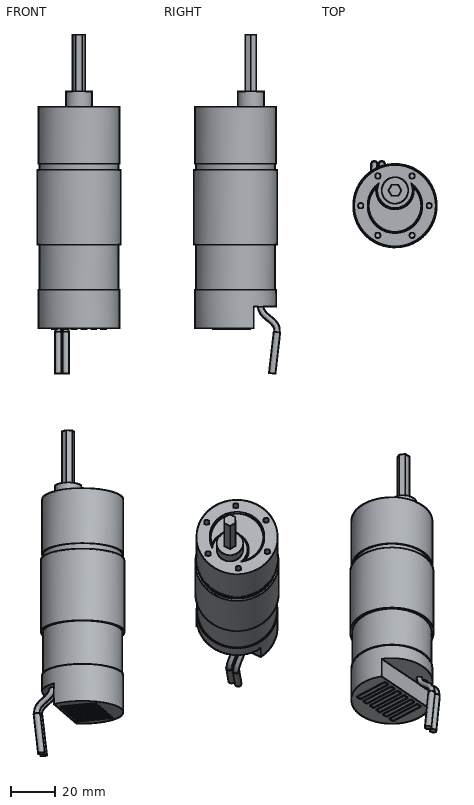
import cadquery as cq
import math


SLEEVE_DIAMETER = 38.0
END_RADIUS = 18.5
NECK_RADIUS = 18.0
CAP_TOP = 17.5
MOTOR_TOP = 38.0
SLEEVE_TOP = 71.9
GROOVE_TOP = 74.7
BODY_TOP = 100.7

OUTPUT_Y = 7.0
BOSS_RADIUS = 6.0
BOSS_TOP = 107.6
SHAFT_FLATS = 5.1
SHAFT_TURN = 30
SHAFT_TOP = 133.4

HOLE_COUNT = 6
HOLE_RADIUS = 1.2
HOLE_CIRCLE_RADIUS = 15.5
HOLE_DEPTH = 6.2

RECESS_RADIUS = 12.5
ISLAND_RADIUS = 8.0
RECESS_DEPTH = 0.8
WALL_RUN = 0.6

STEP_Y = 8.3
STEP_HEIGHT = 9.9

RIB_COUNT = 6
RIB_PITCH = 4.5
RIB_WIDTH = 2.5
RIB_LENGTH = 17.0
RIB_CENTER_Y = -1.8
RIB_HEIGHT = 0.3

WIRE_RADIUS = 1.31
TUBE_RADIUS = 1.5
WIRE_X = (-9.4, -6.0)
WIRE_ROOT_Y = 11.2
WIRE_EMBED = 1.2
WIRE_MIDDLE = (14.6, 5.0)
TUBE_START = (18.8, -1.7)
TUBE_END = (16.6, -20.5)


def cylinder(radius, bottom, top, y=0):
    return cq.Workplane("XY", origin=(0, y, bottom)).circle(radius).extrude(top - bottom)


def cone(bottom_radius, top_radius, bottom, top, y=0):
    lower = cq.Workplane("XY", origin=(0, y, bottom)).circle(bottom_radius)
    return lower.workplane(offset=top - bottom).circle(top_radius).loft()


def housing():
    upper_sections = [
        (NECK_RADIUS, MOTOR_TOP),
        (SLEEVE_DIAMETER / 2, SLEEVE_TOP),
        (NECK_RADIUS, GROOVE_TOP),
        (END_RADIUS, BODY_TOP),
    ]
    body = cylinder(END_RADIUS, 0, CAP_TOP)
    bottom = CAP_TOP
    for radius, top in upper_sections:
        body = body.union(cylinder(radius, bottom, top))
        bottom = top
    return body


def output():
    shaft = (
        cq.Workplane("XY", origin=(0, OUTPUT_Y, BOSS_TOP))
        .transformed(rotate=(0, 0, SHAFT_TURN))
        .polygon(6, SHAFT_FLATS, circumscribed=True)
        .extrude(SHAFT_TOP - BOSS_TOP)
    )
    return cylinder(BOSS_RADIUS, BODY_TOP, BOSS_TOP, OUTPUT_Y).union(shaft)


def mounting_holes():
    return (
        cq.Workplane("XY", origin=(0, 0, BODY_TOP))
        .polarArray(HOLE_CIRCLE_RADIUS, 0, 360, HOLE_COUNT)
        .circle(HOLE_RADIUS)
        .extrude(-HOLE_DEPTH)
    )


def crescent_recess():
    floor = BODY_TOP - RECESS_DEPTH
    bowl = cone(RECESS_RADIUS - WALL_RUN, RECESS_RADIUS, floor, BODY_TOP)
    island = cone(ISLAND_RADIUS + WALL_RUN, ISLAND_RADIUS, floor, BODY_TOP, OUTPUT_Y)
    return bowl.cut(island)


def wire_step():
    return (
        cq.Workplane("XY", origin=(0, STEP_Y, 0))
        .rect(2 * END_RADIUS, 2 * END_RADIUS)
        .extrude(STEP_HEIGHT)
        .translate((0, END_RADIUS, 0))
    )


def cap_ribs():
    return (
        cq.Workplane("XY", origin=(0, RIB_CENTER_Y, 0))
        .rarray(RIB_PITCH, 1.5, RIB_COUNT, 1)
        .rect(RIB_WIDTH, RIB_LENGTH)
        .extrude(-RIB_HEIGHT)
    )


def wire(x):
    root = (WIRE_ROOT_Y, STEP_HEIGHT + WIRE_EMBED)
    run_y = TUBE_END[0] - TUBE_START[0]
    run_z = TUBE_END[1] - TUBE_START[1]
    path = cq.Workplane("YZ", origin=(x, 0, 0)).spline(
        [root, WIRE_MIDDLE, TUBE_START], tangents=[(0, -1), (run_y, run_z)]
    )
    bend = cq.Workplane("XY", origin=(x, *root)).circle(WIRE_RADIUS).sweep(path)
    tube = cq.Solid.makeCylinder(
        TUBE_RADIUS,
        math.hypot(run_y, run_z),
        cq.Vector(x, *TUBE_START),
        cq.Vector(0, run_y, run_z),
    )
    return bend.union(cq.Workplane(tube))


result = housing().cut(wire_step()).cut(mounting_holes()).cut(crescent_recess())
result = result.union(output()).union(cap_ribs())
for wire_x in WIRE_X:
    result = result.union(wire(wire_x))